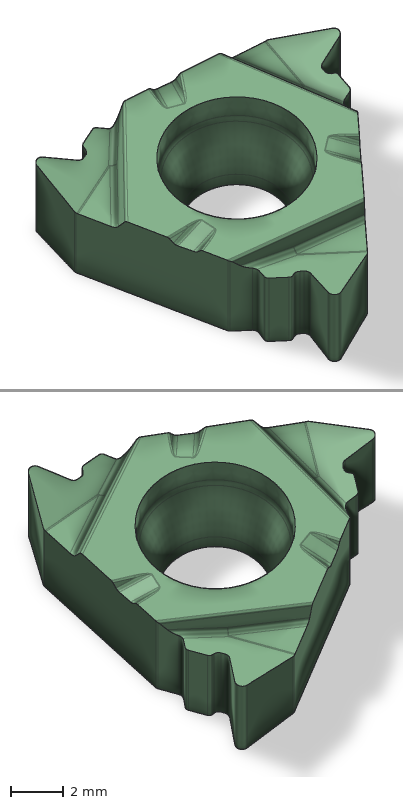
import cadquery as cq
import math

THICKNESS = 4.17
CORNER_COUNT = 3
TURN = 360 / CORNER_COUNT
INSCRIBED_RADIUS = 4.76
CORNER_BLEND = 0.17

FLANK_ANGLE = 27.5
TOOTH_APEX = (-3.37, 7.23)
TIP_RADIUS = 0.28
VALLEY_Y = 5.43
VALLEY_RADIUS = 0.27
VALLEY_WALL_X = -1.95
CREST_Y = 5.75
CREST_START_RADIUS = 0.17
VALLEY_WALL_RADIUS = 0.27
CREST_END_X = -0.78
CREST_RADIUS = 0.2
SHOULDER_Y = 5.15
SHOULDER_RADIUS = 0.27

GROOVE_ANGLE = 27.5
GROOVE_OFFSET = 4.22
GROOVE_HALF_LENGTH = 4.02
GROOVE_FLOOR_Z = 3.53
GROOVE_WALL_ANGLE = 60
GROOVE_FILLET = 0.32
GROOVE_LIP_RADIUS = 0.15
RAKE_ANGLE = 10
RAKE_START_Y = 4.44

HOLE_RADIUS = 2.2
SEAT_TOP_RADIUS = 3.07
SEAT_BOTTOM_RADIUS = 3.0
SEAT_DEPTH = 1.02
BOWL_TOP_RADIUS = 2.91
BOWL_TOP_DEPTH = 1.25
BOWL_BOTTOM_DEPTH = 3.55

PIT_END = (-3.47, -0.52)
PIT_DIRECTION = 166
PIT_WIDTH = 0.65
PIT_SLOPE = 11
PIT_WALL_ANGLE = 45
PIT_FILLET = 0.27
PIT_LIP_RADIUS = 0.13
PIT_REACH = 1.07
RIM_MARGIN = 0.07

OVERRUN = 8.05
Z_AXIS = ((0, 0, 0), (0, 0, 1))


def turned(shape, angle):
    return shape.rotate(*Z_AXIS, angle)


def turned_point(point, angle):
    c = math.cos(math.radians(angle))
    s = math.sin(math.radians(angle))
    return (point[0] * c - point[1] * s, point[0] * s + point[1] * c)


def corner_profile():
    """Outline points of one corner, each with the radius that rounds it."""
    flank = math.tan(math.radians(FLANK_ANGLE))
    apex_x, apex_y = TOOTH_APEX
    side_y = apex_y - (apex_x + INSCRIBED_RADIUS) / flank
    valley_start_x = apex_x + (apex_y - VALLEY_Y) * flank
    crest_start_x = VALLEY_WALL_X + (CREST_Y - VALLEY_Y) * flank
    shoulder_x = CREST_END_X + (CREST_Y - SHOULDER_Y) * flank
    side_normal = math.radians(180 - TURN)
    corner_x = (INSCRIBED_RADIUS - SHOULDER_Y * math.sin(side_normal)) / math.cos(side_normal)
    return [
        ((-INSCRIBED_RADIUS, side_y), CORNER_BLEND),
        (TOOTH_APEX, TIP_RADIUS),
        ((valley_start_x, VALLEY_Y), VALLEY_RADIUS),
        ((VALLEY_WALL_X, VALLEY_Y), VALLEY_WALL_RADIUS),
        ((crest_start_x, CREST_Y), CREST_START_RADIUS),
        ((CREST_END_X, CREST_Y), CREST_RADIUS),
        ((shoulder_x, SHOULDER_Y), SHOULDER_RADIUS),
        ((corner_x, SHOULDER_Y), CORNER_BLEND),
    ]


def make_body():
    profile = corner_profile()
    rounded = [(turned_point(p, -i * TURN), r) for i in range(CORNER_COUNT) for p, r in profile]
    body = cq.Workplane("XY").polyline([p for p, _ in rounded]).close().extrude(THICKNESS)
    for (x, y), radius in rounded:
        edge = cq.selectors.NearestToPointSelector((x, y, THICKNESS / 2))
        body = body.edges("|Z").edges(edge).fillet(radius)
    return body


def make_screw_hole():
    bowl_drop = BOWL_BOTTOM_DEPTH - BOWL_TOP_DEPTH
    return (
        cq.Workplane("XZ")
        .moveTo(0, 0)
        .lineTo(HOLE_RADIUS, 0)
        .lineTo(HOLE_RADIUS, THICKNESS - BOWL_BOTTOM_DEPTH)
        .tangentArcPoint((BOWL_TOP_RADIUS - HOLE_RADIUS, bowl_drop))
        .tangentArcPoint((SEAT_BOTTOM_RADIUS - BOWL_TOP_RADIUS, BOWL_TOP_DEPTH - SEAT_DEPTH))
        .lineTo(SEAT_TOP_RADIUS, THICKNESS)
        .lineTo(0, THICKNESS)
        .close()
        .revolve(360, (0, 0), (0, 1))
    )


def make_groove_wall():
    """Prism with the steep wall and the rounded lip, beyond the groove line."""
    wall = math.radians(GROOVE_WALL_ANGLE)
    lip_width = GROOVE_LIP_RADIUS * math.sin(wall)
    lip_drop = GROOVE_LIP_RADIUS * (1 - math.cos(wall))
    half = wall / 2
    lip_middle = (
        GROOVE_OFFSET + GROOVE_LIP_RADIUS * math.sin(half),
        THICKNESS - GROOVE_LIP_RADIUS * (1 - math.cos(half)),
    )
    wall_start = (GROOVE_OFFSET + lip_width, THICKNESS - lip_drop)
    wall_end = (wall_start[0] + wall_start[1] / math.tan(wall), 0)
    prism = (
        cq.Workplane("YZ")
        .moveTo(GROOVE_OFFSET, THICKNESS)
        .threePointArc(lip_middle, wall_start)
        .lineTo(*wall_end)
        .lineTo(GROOVE_OFFSET + OVERRUN, 0)
        .lineTo(GROOVE_OFFSET + OVERRUN, THICKNESS)
        .close()
        .extrude(GROOVE_HALF_LENGTH, both=True)
    )
    return turned(prism, GROOVE_ANGLE)


def make_groove_floor():
    """Prism above the flat floor and the rake face that rises towards the tooth tip."""
    rise = OVERRUN * math.tan(math.radians(RAKE_ANGLE))
    top = GROOVE_FLOOR_Z + 2 * rise
    return (
        cq.Workplane("YZ")
        .moveTo(RAKE_START_Y - OVERRUN, GROOVE_FLOOR_Z)
        .lineTo(RAKE_START_Y, GROOVE_FLOOR_Z)
        .lineTo(RAKE_START_Y + OVERRUN, GROOVE_FLOOR_Z + rise)
        .lineTo(RAKE_START_Y + OVERRUN, top)
        .lineTo(RAKE_START_Y - OVERRUN, top)
        .close()
        .extrude(OVERRUN, both=True)
    )


def make_chip_groove():
    groove = make_groove_wall().intersect(make_groove_floor())
    meeting_point = groove.vertices("<Z").vertices(">X")
    return meeting_point.ancestors("Edge").fillet(GROOVE_FILLET)


def make_pit():
    """Trapezoidal prism sloping down from its inner end to the long side."""
    height = OVERRUN * math.tan(math.radians(PIT_WALL_ANGLE))
    half = PIT_WIDTH / 2 + PIT_FILLET * math.tan(math.radians(PIT_WALL_ANGLE / 2))
    pit = (
        cq.Workplane("YZ")
        .polyline([(-half, 0), (half, 0), (half + OVERRUN, height), (-half - OVERRUN, height)])
        .close()
        .extrude(OVERRUN)
        .edges("|X and <Z")
        .fillet(PIT_FILLET)
        .rotate((0, 0, 0), (0, 1, 0), PIT_SLOPE)
    )
    return turned(pit, PIT_DIRECTION).translate((*PIT_END, THICKNESS))


def cut_pit(body):
    """Cut the pit into the side at -X and round its rim on the top face."""
    end_x, end_y = PIT_END
    rim = cq.selectors.BoxSelector(
        (RIM_MARGIN - INSCRIBED_RADIUS, end_y - PIT_REACH, THICKNESS - RIM_MARGIN),
        (end_x + RIM_MARGIN, end_y + PIT_REACH, THICKNESS + RIM_MARGIN),
    )
    return body.cut(make_pit()).edges(rim).fillet(PIT_LIP_RADIUS)


result = make_body().cut(make_screw_hole())
chip_groove = make_chip_groove()
for _ in range(CORNER_COUNT):
    result = turned(cut_pit(result.cut(chip_groove)), TURN)